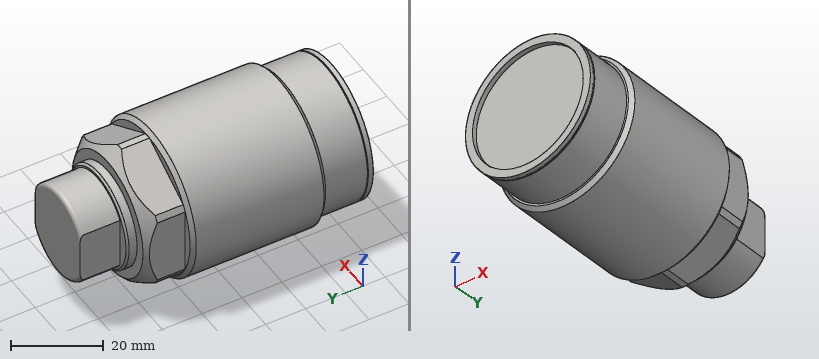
import cadquery as cq
import math


ring_length = 1.25
ring_bore_radius = 15.5

neck_radius = 17.5
neck_length = 11
neck_chamfer = 0.25
barrel_radius = 19
barrel_length = 34
barrel_chamfer = 1

hex_across_flats = 32
hex_corner_radius = 18
hex_length = 10
hex_end_radius = 15
collar_radius = 12.5
collar_length = 2.5
collar_chamfer = 0.5
spigot_radius = 11.5
spigot_length = 10
spigot_across_flats = 19
spigot_end_fillet = 1

neck_front = ring_length
barrel_front = neck_front + neck_length
hex_front = barrel_front + barrel_length
collar_front = hex_front + hex_length
spigot_front = collar_front + collar_length


def cylinder(radius, front, length):
    """Round bar along Y that starts at Y = front and runs toward +Y."""
    plane = cq.Workplane("XZ", origin=(0, front, 0))
    return plane.circle(radius).extrude(-length)


def make_ring():
    """Flat ring, flush with the neck, that leaves the middle of the neck's end face open."""
    disc = cylinder(neck_radius, 0, ring_length)
    bore = cylinder(ring_bore_radius, 0, ring_length)
    return disc.cut(bore)


def make_housing():
    neck = cylinder(neck_radius, neck_front, neck_length).faces("<Y").edges().chamfer(neck_chamfer)
    barrel = cylinder(barrel_radius, barrel_front, barrel_length)
    barrel = barrel.faces("<Y or >Y").edges().chamfer(barrel_chamfer)
    return neck.union(barrel)


def make_hexagon():
    """Hexagon with two flats facing +X and -X, its corners turned round and its rear end bevelled."""
    across_corners = hex_across_flats / math.cos(math.pi / 6)
    prism = (
        cq.Workplane("XZ", origin=(0, hex_front, 0))
        .transformed(rotate=(0, 0, 30))
        .polygon(6, across_corners)
        .extrude(-hex_length)
    )
    bevel = hex_corner_radius - hex_end_radius
    turned_blank = cylinder(hex_corner_radius, hex_front, hex_length).faces(">Y").edges().chamfer(bevel)
    return prism.intersect(turned_blank)


def make_spigot():
    """Round spigot with a rounded end and flats facing +X and -X."""
    round_bar = cylinder(spigot_radius, spigot_front, spigot_length)
    round_bar = round_bar.faces(">Y").edges().fillet(spigot_end_fillet)
    flat_bar = (
        cq.Workplane("XZ", origin=(0, spigot_front, 0))
        .rect(spigot_across_flats, 2 * spigot_radius)
        .extrude(-spigot_length)
    )
    return round_bar.intersect(flat_bar)


def make_adapter():
    collar = cylinder(collar_radius, collar_front, collar_length).faces(">Y").edges().chamfer(collar_chamfer)
    return make_hexagon().union(collar).union(make_spigot())


ring = make_ring()
housing = make_housing()
adapter = make_adapter()

result = cq.Compound.makeCompound([ring.val(), housing.val(), adapter.val()])